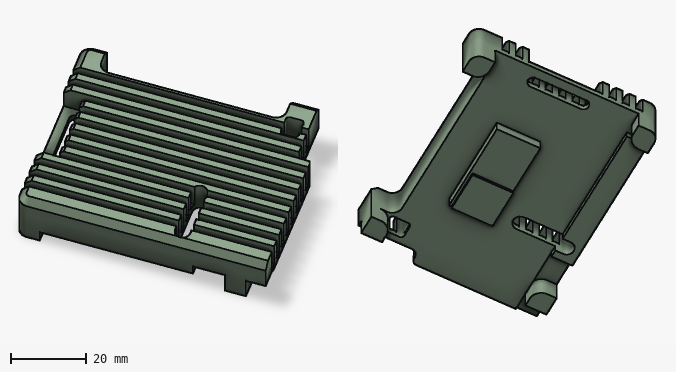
import cadquery as cq

length = 70.0
width = 55.6
height = 15.4

plate_bottom = 5.75
plate_thickness = 2.0
groove_floor = plate_bottom + plate_thickness
outer_radius = 3.0
outer_chamfer = 1.95

leg_depth = 6.3
left_leg_end = 6.65
right_leg_start = 58.6
right_leg_end = 64.5
leg_inner_radius = 3.5

back_notch_y = 47.9
back_notch_radius = 3.0
step_x = 66.0
step_y = 37.6
step_inner_radius = 2.0
step_outer_radius = 1.5

groove_count = 11
groove_width = 2.0
first_groove_start = 5.05
last_groove_end = 47.1
groove_pitch = (last_groove_end - groove_width - first_groove_start) / (groove_count - 1)

pocket_first_groove = 3
pocket_last_groove = 8
pocket_end = 5.8
pocket_floor = groove_floor - 0.1
pocket_radius = 1.95
pocket_chamfer = 1.05

slot_length = 18.1
left_slot_width = 3.1
left_slot_start_y = 19.05
right_slot_start_x = 43.25
right_slot_width = 4.2
right_slot_start_y = 1.9
window_start_x = 59.15
window_end_x = 64.1
window_start_y = 43.3
window_end_y = 49.35
window_radius = 1.0

skirt_bottom = 3.65
skirt_end = 49.6
recess_height = 1.0
recess_top = plate_bottom + recess_height
pad_start_x = 20.0
pad_end_x = 47.3
pad_start_y = 25.2
pad_end_y = 38.2
pad_bottom = 2.6
step_pad_start_x = 35.4
step_pad_end_y = 37.45
step_pad_bottom = 1.75


def block(x_range, y_range, z_range):
    """Box spanning the given (start, end) ranges."""
    sizes = [end - start for start, end in (x_range, y_range, z_range)]
    corner = (x_range[0], y_range[0], z_range[0])
    return cq.Workplane("XY").box(*sizes, centered=False).translate(corner)


def groove_start(index):
    """Front edge of a groove, counted from the front."""
    return first_groove_start + index * groove_pitch


def outline_prism(bottom, top):
    """Full rectangle with the two left corners rounded."""
    prism = block((0, length), (0, width), (bottom, top))
    return prism.edges("|Z and <X").fillet(outer_radius)


def make_shell():
    """Solid upper body, chamfered along the front, left and back top edges."""
    shell = outline_prism(plate_bottom, height)
    return shell.faces(">Z").edges("not >X").chamfer(outer_chamfer)


def make_back_notch():
    notch = block((left_leg_end, right_leg_start), (back_notch_y, width), (0, height))
    return notch.edges("|Z and <Y").fillet(back_notch_radius)


def make_step_cut():
    """Cut for the back right corner, easing into the right side through a convex arc."""
    return (
        cq.Workplane("XY")
        .moveTo(step_x, width)
        .lineTo(step_x, step_y + step_inner_radius)
        .radiusArc((step_x + step_inner_radius, step_y), -step_inner_radius)
        .lineTo(length - step_outer_radius, step_y)
        .radiusArc((length, step_y - step_outer_radius), step_outer_radius)
        .lineTo(length, width)
        .close()
        .extrude(height)
    )


def make_pocket():
    """Pocket open to the left; its inner top edge is chamfered where it meets the fins."""
    start_y = groove_start(pocket_first_groove)
    end_y = groove_start(pocket_last_groove) + groove_width
    pocket = block((0, pocket_end), (start_y, end_y), (pocket_floor, height))
    pocket = pocket.edges("|Z and >X").fillet(pocket_radius)
    chamfer_wedge = (
        cq.Workplane("XZ")
        .moveTo(pocket_end, height)
        .lineTo(pocket_end + pocket_chamfer, height)
        .lineTo(pocket_end, height - pocket_chamfer)
        .close()
        .extrude(-(end_y - start_y))
        .translate((0, start_y, 0))
    )
    return pocket.union(chamfer_wedge)


def make_slot(start_x, start_y, slot_width):
    """Vertical through slot with full round ends, running along Y."""
    center = (start_x + slot_width / 2, start_y + slot_length / 2)
    return cq.Workplane("XY").center(*center).slot2D(slot_length, slot_width, 90).extrude(height)


def make_window():
    window = block((window_start_x, window_end_x), (window_start_y, window_end_y), (0, height))
    return window.edges("|Z").fillet(window_radius)


def make_legs():
    """Four corner legs rounded on their inner edge and reaching up to the recess ceiling."""
    left = block((0, left_leg_end), (0, leg_depth), (0, recess_top))
    left = left.edges("|Z and >X and >Y").fillet(leg_inner_radius)
    right = block((right_leg_start, right_leg_end), (0, leg_depth), (0, recess_top))
    right = right.edges("|Z and <X and >Y").fillet(leg_inner_radius)
    front = left.union(right)
    back = front.mirror("XZ", (0, width / 2, 0))
    return front.union(back).intersect(outline_prism(0, recess_top))


def make_pads():
    pad = block((pad_start_x, pad_end_x), (pad_start_y, pad_end_y), (pad_bottom, plate_bottom))
    step_pad = block(
        (step_pad_start_x, pad_end_x), (pad_start_y, step_pad_end_y), (step_pad_bottom, pad_bottom)
    )
    return pad.union(step_pad)


body = make_shell().cut(make_back_notch()).cut(make_step_cut())
body = body.cut(block((skirt_end, length), (0, leg_depth), (plate_bottom, recess_top)))

for index in range(groove_count):
    groove_range = (groove_start(index), groove_start(index) + groove_width)
    body = body.cut(block((0, length), groove_range, (groove_floor, height)))
body = body.cut(make_pocket())

body = body.union(make_legs())
body = body.union(block((left_leg_end, skirt_end), (0, leg_depth), (skirt_bottom, plate_bottom)))
body = body.union(make_pads())

body = body.cut(make_slot(pocket_end - left_slot_width, left_slot_start_y, left_slot_width))
body = body.cut(make_slot(right_slot_start_x, right_slot_start_y, right_slot_width))
result = body.cut(make_window())